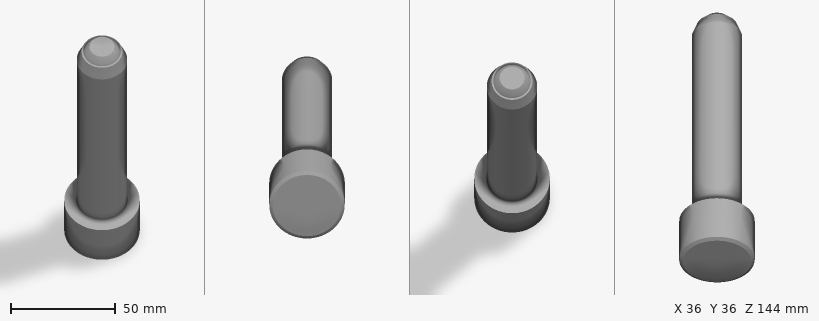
import cadquery as cq

total_length = 144.0
head_diameter = 36.0
shank_diameter = 24.0

head_height = shank_diameter
head_chamfer_width = 1.7
head_chamfer_height = 1.0
root_fillet = 0.79

taper_length = 6.2
taper_end_diameter = 19.5
nose_length = 3.7
nose_base_diameter = 17.7
nose_end_diameter = 11.8
nose_radius = 10.1

head_radius = head_diameter / 2
shank_radius = shank_diameter / 2
taper_end_radius = taper_end_diameter / 2
nose_base_radius = nose_base_diameter / 2
nose_end_radius = nose_end_diameter / 2
nose_base_height = total_length - nose_length
shank_top_height = nose_base_height - taper_length

half_section = (
    cq.Workplane("XZ")
    .moveTo(0, 0)
    .lineTo(head_radius - head_chamfer_width, 0)
    .lineTo(head_radius, head_chamfer_height)
    .lineTo(head_radius, head_height)
    .lineTo(shank_radius + root_fillet, head_height)
    .radiusArc((shank_radius, head_height + root_fillet), root_fillet)
    .lineTo(shank_radius, shank_top_height)
    .lineTo(taper_end_radius, nose_base_height)
    .lineTo(nose_base_radius, nose_base_height)
    .radiusArc((nose_end_radius, total_length), -nose_radius)
    .lineTo(0, total_length)
    .close()
)

result = half_section.revolve(360, (0, 0, 0), (0, 1, 0))